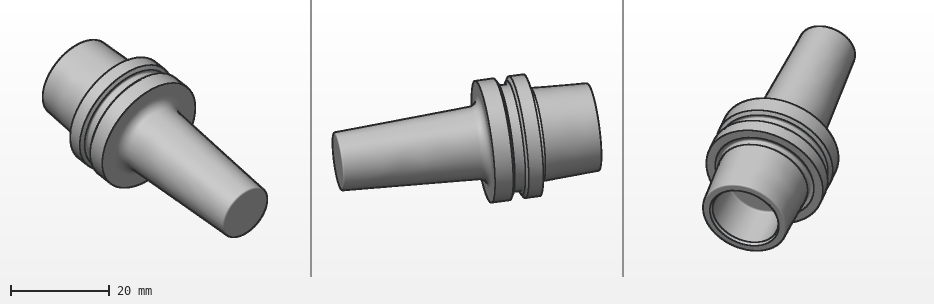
import cadquery as cq
import math


total_length = 52.9
taper_small_radius = 9.0
taper_large_radius = 9.6
taper_length = 11.8
rim_round = 0.35

relief_depth = 0.1
relief_ramp_length = 0.35
relief_fillet = 0.35
relief_outer_radius = 10.6
relief_face_angle = math.radians(20)

flange_start = 12.8
flange_end = 22.8
flange_radius = 12.51
groove_start = 15.8
groove_end = 19.05
groove_bottom_radius = 10.95
groove_chamfer_length = 0.55
groove_chamfer_depth = 0.85
groove_fillet = 0.25

nose_root_radius = 7.55
nose_tip_radius = 6.0
nose_root_fillet = 2.0
tip_round = 0.35

bore_mouth_radius = 7.4
bore_chamfer_depth = 0.35
bore_chamfer_length = 0.65
bore_radius = bore_mouth_radius - bore_chamfer_depth
bore_depth = 10.0
bore_floor_fillet = 0.4


def arc_point(center, radius, angle):
    """Point on a circle in the profile plane, angle measured from +X."""
    return (center[0] + radius * math.cos(angle), center[1] + radius * math.sin(angle))


def revolve_profile(profile):
    """Close the profile and turn it one full revolution about the X axis."""
    return profile.close().revolve(360, (0, 0, 0), (1, 0, 0))


def make_body():
    """Solid of revolution with sharp rims and a plain flange."""
    floor_radius = taper_large_radius - relief_depth

    fillet_center_radius = floor_radius + relief_fillet
    face_tangent_radius = fillet_center_radius + relief_fillet * math.sin(relief_face_angle)
    face_tangent_x = flange_start + (relief_outer_radius - face_tangent_radius) * math.tan(relief_face_angle)
    fillet_center = (face_tangent_x - relief_fillet * math.cos(relief_face_angle), fillet_center_radius)

    profile = (
        cq.Workplane("XY")
        .moveTo(0, 0)
        .lineTo(0, taper_small_radius)
        .lineTo(taper_length, taper_large_radius)
        .lineTo(taper_length + relief_ramp_length, floor_radius)
        .lineTo(fillet_center[0], floor_radius)
        .threePointArc(
            arc_point(fillet_center, relief_fillet, -math.pi / 4),
            arc_point(fillet_center, relief_fillet, relief_face_angle),
        )
        .lineTo(flange_start, relief_outer_radius)
        .lineTo(flange_start, flange_radius)
        .lineTo(flange_end, flange_radius)
        .lineTo(flange_end, nose_root_radius)
        .lineTo(total_length, nose_tip_radius)
        .lineTo(total_length, 0)
    )
    return revolve_profile(profile)


def circle_edge_at(x, radius):
    """Selector for the full-circle edge at the given station and radius."""
    tolerance = 0.005
    reach = radius + tolerance
    return cq.selectors.BoxSelector(
        (x - tolerance, -reach, -reach), (x + tolerance, reach, reach), boundingbox=True
    )


def round_edges(body):
    """Blend the nose into the flange and round both end rims."""
    body = body.edges(circle_edge_at(flange_end, nose_root_radius)).fillet(nose_root_fillet)
    body = body.edges(circle_edge_at(0, taper_small_radius)).fillet(rim_round)
    return body.edges(circle_edge_at(total_length, nose_tip_radius)).fillet(tip_round)


def make_gripper_groove():
    """Ring cutter: chamfered mouth, straight walls and filleted floor corners."""
    wall_start = groove_start + groove_chamfer_length
    wall_end = groove_end - groove_chamfer_length
    wall_radius = flange_radius - groove_chamfer_depth
    corner_radius = groove_bottom_radius + groove_fillet
    left_corner_center = (wall_start + groove_fillet, corner_radius)
    right_corner_center = (wall_end - groove_fillet, corner_radius)
    profile = (
        cq.Workplane("XY")
        .moveTo(groove_start, flange_radius)
        .lineTo(wall_start, wall_radius)
        .lineTo(wall_start, corner_radius)
        .threePointArc(
            arc_point(left_corner_center, groove_fillet, -math.pi * 3 / 4),
            arc_point(left_corner_center, groove_fillet, -math.pi / 2),
        )
        .lineTo(right_corner_center[0], groove_bottom_radius)
        .threePointArc(
            arc_point(right_corner_center, groove_fillet, -math.pi / 4),
            arc_point(right_corner_center, groove_fillet, 0),
        )
        .lineTo(wall_end, wall_radius)
        .lineTo(groove_end, flange_radius)
    )
    return revolve_profile(profile)


def make_bore():
    """Blind bore with a chamfered mouth and a filleted floor."""
    fillet_center = (bore_depth - bore_floor_fillet, bore_radius - bore_floor_fillet)
    profile = (
        cq.Workplane("XY")
        .moveTo(0, 0)
        .lineTo(0, bore_mouth_radius)
        .lineTo(bore_chamfer_length, bore_radius)
        .lineTo(fillet_center[0], bore_radius)
        .threePointArc(
            arc_point(fillet_center, bore_floor_fillet, math.pi / 4),
            arc_point(fillet_center, bore_floor_fillet, 0),
        )
        .lineTo(bore_depth, 0)
    )
    return revolve_profile(profile)


result = round_edges(make_body()).cut(make_gripper_groove()).cut(make_bore())